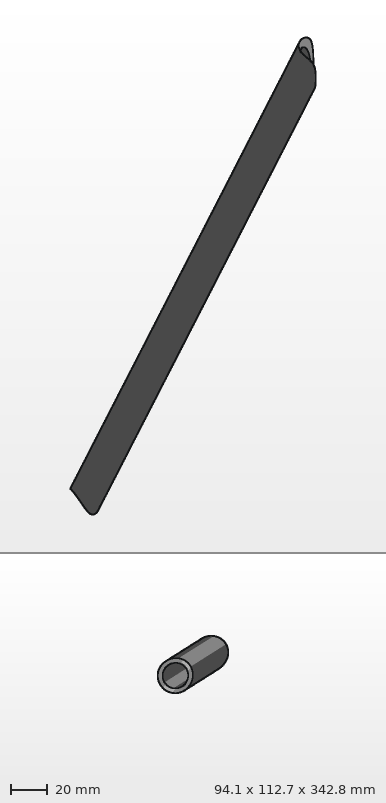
import cadquery as cq
import math

TUBE_RADIUS = 9.5
WALL = 2.6
SLOPE_X = 0.2284
SLOPE_Y = 0.3045
AXIS_X = 0.95
AXIS_Y = 1.0

BOTTOM_NODE_Z = -174.7
BOTTOM_SADDLE_RADIUS = 11.6
BOTTOM_HEADING = -81.0
BOTTOM_TILT = 20.3
TOP_NODE_Z = 172.7
TOP_SADDLE_RADIUS = 10.7
TOP_HEADING = -111.0
TOP_TILT = 54.0

OVERRUN = 40.0
CUTTER_HALF_LENGTH = 60.0

AXIS = cq.Vector(SLOPE_X, SLOPE_Y, 1).normalized()
SIDE = (cq.Vector(1, 0, 0) - AXIS * AXIS.x).normalized()
BACK = AXIS.cross(SIDE)


def axis_point(height):
    """Point of the tube axis at the given Z."""
    return cq.Vector(AXIS_X + SLOPE_X * height, AXIS_Y + SLOPE_Y * height, height)


def tube_blank():
    """Straight hollow tube, longer than the finished part."""
    start = axis_point(BOTTOM_NODE_Z) - AXIS * OVERRUN
    end = axis_point(TOP_NODE_Z) + AXIS * OVERRUN
    plane = cq.Plane(origin=start, xDir=SIDE, normal=AXIS)
    length = (end - start).Length
    return cq.Workplane(plane).circle(TUBE_RADIUS).circle(TUBE_RADIUS - WALL).extrude(length)


def saddle_cutter(node_z, radius, heading, tilt):
    """Cylinder of the mating tube, centred on the node."""
    turn = math.radians(heading)
    lean = math.radians(tilt)
    across = SIDE * math.cos(turn) + BACK * math.sin(turn)
    direction = across * math.cos(lean) + AXIS * math.sin(lean)
    start = axis_point(node_z) - direction * CUTTER_HALF_LENGTH
    plane = cq.Plane(origin=start, xDir=AXIS.cross(across), normal=direction)
    return cq.Workplane(plane).circle(radius).extrude(2 * CUTTER_HALF_LENGTH)


coped = tube_blank()
coped = coped.cut(saddle_cutter(BOTTOM_NODE_Z, BOTTOM_SADDLE_RADIUS, BOTTOM_HEADING, BOTTOM_TILT))
coped = coped.cut(saddle_cutter(TOP_NODE_Z, TOP_SADDLE_RADIUS, TOP_HEADING, TOP_TILT))

result = cq.Workplane(max(coped.solids().vals(), key=lambda piece: piece.Volume()))